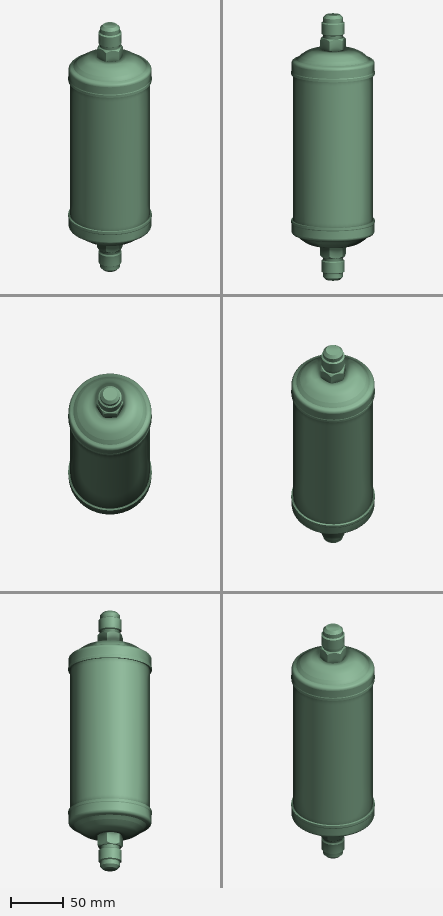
import cadquery as cq
import math

total_length = 258.0
half_length = total_length / 2

tube_radius = 76.2 / 2
lip_radius = 80.0 / 2
band_radius = 79.4 / 2
shoulder_radius = 37.5
dome_foot_radius = 35.0
dome_arc_radius = 31.5
dome_flat_radius = 15.0

lip_start = 71.0
lip_height = 2.5
lip_taper_height = 0.8
lip_end = lip_start + lip_height
band_end = 82.0
shoulder_height = 84.85
dome_top_height = 95.2

dome_cone_angle = math.radians(42)
dome_arc_height = dome_top_height - (dome_arc_radius - dome_flat_radius) * math.tan(dome_cone_angle / 2)
dome_foot_height = dome_arc_height - (dome_foot_radius - dome_arc_radius) * math.tan(dome_cone_angle)

hex_sides = 6
hex_across_flats = 22.0
thread_radius = 22.23 / 2
neck_radius = 19.0 / 2
tip_radius = 6.8

tip_cone_length = neck_radius - tip_radius
thread_end = half_length - 6.95
thread_start = half_length - 19.25
thread_chamfer_angle = math.radians(30)
thread_chamfer_height = (thread_radius - neck_radius) * math.tan(thread_chamfer_angle)
hex_end = half_length - 22.1

hex_outer_face_radius = 10.9
hex_outer_cone_height = 2.0
hex_inner_face_radius = 11.0
hex_inner_cone_height = 1.0


def revolve_around_z(outline):
    """Full turn of a closed X-Z outline around the part's axis."""
    return outline.revolve(360, (0, 0, 0), (0, 1, 0))


def tube():
    """Plain cylinder running from the lower lip to the upper lip."""
    return cq.Workplane("XY").circle(tube_radius).extrude(lip_start, both=True)


def end_cap():
    """Upper end of the shell: rolled lip, band, rounded shoulder and dome."""
    outline = (
        cq.Workplane("XZ")
        .moveTo(0, dome_top_height)
        .lineTo(dome_flat_radius, dome_top_height)
        .tangentArcPoint((dome_arc_radius, dome_arc_height), relative=False)
        .lineTo(dome_foot_radius, dome_foot_height)
        .lineTo(shoulder_radius, shoulder_height)
        .tangentArcPoint((band_radius, band_end), relative=False)
        .lineTo(band_radius, lip_end + lip_taper_height)
        .lineTo(lip_radius, lip_end)
        .lineTo(lip_radius, lip_start)
        .lineTo(0, lip_start)
        .close()
    )
    return revolve_around_z(outline)


def hex_nut():
    """Hexagon with corners on the X axis, its corners turned off conically at both ends."""
    corner_radius = hex_across_flats / 2 / math.cos(math.pi / hex_sides)
    height = hex_end - dome_top_height
    prism = (
        cq.Workplane("XY")
        .workplane(offset=dome_top_height)
        .polygon(hex_sides, 2 * corner_radius)
        .extrude(height)
    )
    envelope = (
        cq.Workplane("XZ")
        .moveTo(0, dome_top_height)
        .lineTo(hex_inner_face_radius, dome_top_height)
        .lineTo(corner_radius, dome_top_height + hex_inner_cone_height)
        .lineTo(corner_radius, hex_end - hex_outer_cone_height)
        .lineTo(hex_outer_face_radius, hex_end)
        .lineTo(0, hex_end)
        .close()
    )
    return prism.intersect(revolve_around_z(envelope))


def flare_fitting():
    """Neck, chamfered thread cylinder and coned tip above the hexagon."""
    outline = (
        cq.Workplane("XZ")
        .moveTo(0, dome_top_height)
        .lineTo(neck_radius, dome_top_height)
        .lineTo(neck_radius, thread_start)
        .lineTo(thread_radius, thread_start + thread_chamfer_height)
        .lineTo(thread_radius, thread_end - thread_chamfer_height)
        .lineTo(neck_radius, thread_end)
        .lineTo(neck_radius, half_length - tip_cone_length)
        .lineTo(tip_radius, half_length)
        .lineTo(0, half_length)
        .close()
    )
    return revolve_around_z(outline)


upper_end = end_cap().union(hex_nut()).union(flare_fitting())
lower_end = upper_end.mirror("XY")
result = tube().union(upper_end).union(lower_end)